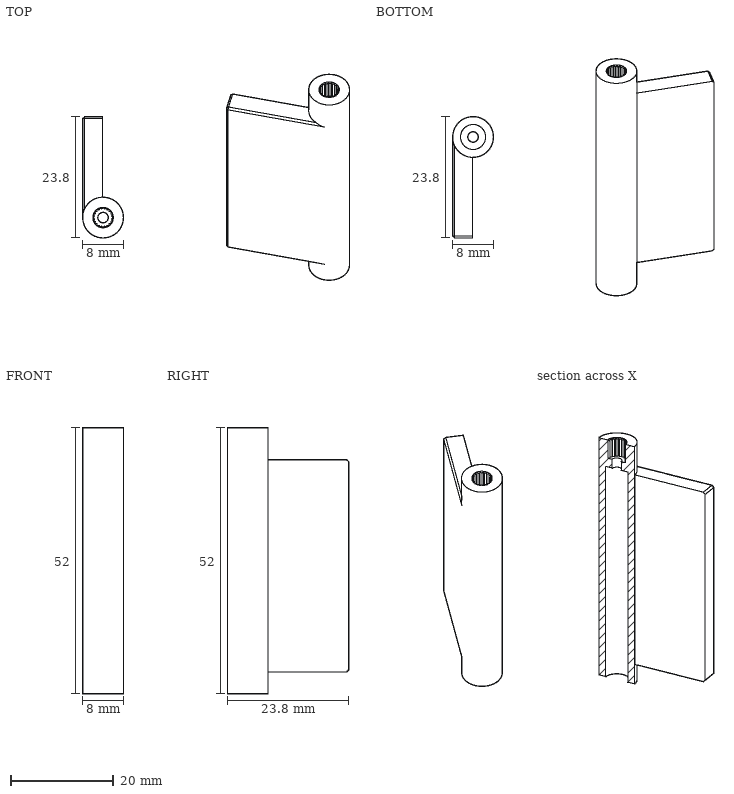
import cadquery as cq
import math

barrel_diameter = 8.0
barrel_radius = barrel_diameter / 2
barrel_height = 52.0

overall_depth = 23.75
leaf_end_y = overall_depth - barrel_radius
leaf_thickness = 3.9
leaf_bottom_z = 4.25
leaf_top_gap = 6.25
leaf_height = barrel_height - leaf_bottom_z - leaf_top_gap
leaf_chamfer = 0.4

tooth_count = 20
socket_root_radius = 1.95
socket_tip_radius = 1.7
socket_depth = 4.0
lead_in_radius = 2.0
lead_in_depth = lead_in_radius - socket_tip_radius
screw_hole_diameter = 2.0

access_bore_diameter = 4.9
web_thickness = 2.0
access_bore_depth = barrel_height - socket_depth - web_thickness


def make_barrel():
    return cq.Workplane("XY").circle(barrel_radius).extrude(barrel_height)


def make_leaf():
    """Plate from the barrel axis to the free end, chamfered except around its +X face."""
    leaf = cq.Workplane("XY").box(leaf_thickness, leaf_end_y, leaf_height, centered=False)
    leaf = leaf.translate((-barrel_radius, 0, leaf_bottom_z))
    outer_face_edges = leaf.faces("<X").edges("|Y or >Y")
    free_end_edges = leaf.faces(">Y").edges("|X")
    return leaf.newObject(outer_face_edges.vals() + free_end_edges.vals()).chamfer(leaf_chamfer)


def make_socket():
    """Prism with V-shaped teeth whose tips point toward the axis."""
    half_pitch = math.pi / tooth_count
    outline = []
    for i in range(2 * tooth_count):
        radius = socket_tip_radius if i % 2 else socket_root_radius
        outline.append((radius * math.cos(i * half_pitch), radius * math.sin(i * half_pitch)))
    floor = cq.Workplane("XY").workplane(offset=barrel_height - socket_depth)
    return floor.polyline(outline).close().extrude(socket_depth)


def make_lead_in():
    """Cone that bevels the mouth of the socket and the upper ends of its teeth."""
    cone = cq.Solid.makeCone(
        socket_tip_radius,
        lead_in_radius,
        lead_in_depth,
        cq.Vector(0, 0, barrel_height - lead_in_depth),
    )
    return cq.Workplane(obj=cone)


def make_screw_hole():
    return cq.Workplane("XY").circle(screw_hole_diameter / 2).extrude(barrel_height)


def make_access_bore():
    return cq.Workplane("XY").circle(access_bore_diameter / 2).extrude(access_bore_depth)


body = make_barrel().union(make_leaf())
result = body.cut(make_socket()).cut(make_lead_in()).cut(make_screw_hole()).cut(make_access_bore())